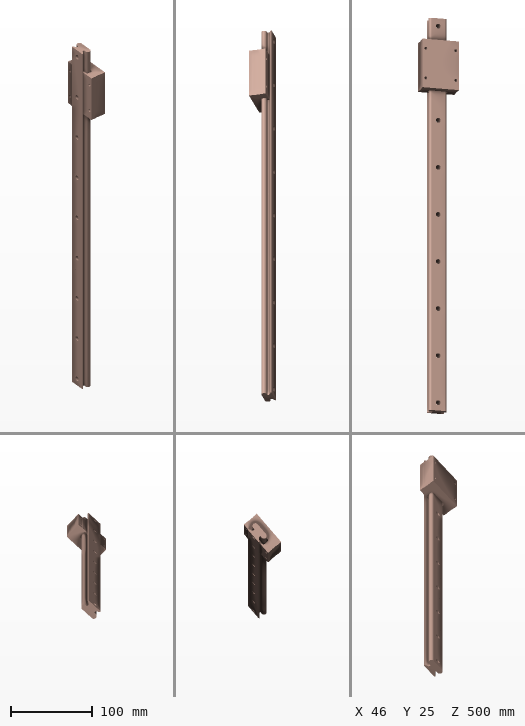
import cadquery as cq
import math

rail_length = 500.0
rail_height = 13.5
head_half_width = 11.5
head_edge_half_width = 8.5
head_thickness = 7.0
head_underside_y = rail_height - head_thickness
stem_half_width = 5.5
foot_half_width = 10.5
foot_edge_radius = 1.0
groove_y = 5.0
groove_radius = 1.75
foot_slope = 30.0

rail_hole_diameter = 6.0
rail_hole_count = 9
rail_hole_pitch = 60.0
first_rail_hole_z = (rail_length - (rail_hole_count - 1) * rail_hole_pitch) / 2

carriage_width = 46.0
carriage_length = 62.0
carriage_front_y = 4.0
carriage_back_y = 25.0
carriage_centre_z = 438.0
carriage_bottom_z = carriage_centre_z - carriage_length / 2
carriage_half_width = carriage_width / 2

head_clearance = 0.25
channel_half_width = head_half_width + head_clearance
channel_roof_y = 14.5
channel_chamfer = 1.5
lip_top_y = head_underside_y - head_clearance
lip_half_gap = 8.0

carriage_hole_spacing = 38.0
carriage_hole_diameter = 3.5

relief_depth = 0.25
side_relief_low_y = 10.5
side_relief_high_y = 19.5
front_relief_width = 7.0

rod_radius = (lip_half_gap - stem_half_width) / 2
rod_x = stem_half_width + rod_radius
rod_y = groove_y


def mirrored(point):
    """The same point on the other side of the YZ plane."""
    x, y = point
    return (-x, y)


def make_rail():
    slope = math.radians(foot_slope)
    root_x = stem_half_width + groove_radius

    def on_root(angle):
        """Point on the groove root, turned by angle from its start on the stem."""
        return (root_x - groove_radius * math.cos(angle), groove_y - groove_radius * math.sin(angle))

    head_top = (head_edge_half_width, rail_height)
    head_side = (head_half_width, (rail_height + head_underside_y) / 2)
    head_bottom = (head_edge_half_width, head_underside_y)
    stem_top = (stem_half_width, head_underside_y)
    root_start = on_root(0)
    root_end_angle = math.pi / 2 - slope
    root_middle = on_root(root_end_angle / 2)
    root_end = on_root(root_end_angle)
    foot_top = (foot_half_width, root_end[1] - (foot_half_width - root_end[0]) * math.tan(slope))
    foot_bottom = (foot_half_width, 0)

    rail = (
        cq.Workplane("XY")
        .moveTo(*mirrored(head_top))
        .lineTo(*head_top)
        .threePointArc(head_side, head_bottom)
        .lineTo(*stem_top)
        .lineTo(*root_start)
        .threePointArc(root_middle, root_end)
        .lineTo(*foot_top)
        .lineTo(*foot_bottom)
        .lineTo(*mirrored(foot_bottom))
        .lineTo(*mirrored(foot_top))
        .lineTo(*mirrored(root_end))
        .threePointArc(mirrored(root_middle), mirrored(root_start))
        .lineTo(*mirrored(stem_top))
        .lineTo(*mirrored(head_bottom))
        .threePointArc(mirrored(head_side), mirrored(head_top))
        .close()
        .extrude(rail_length)
    )
    rail = rail.edges("|Z and <Y").fillet(foot_edge_radius)

    hole_centres = [(0, first_rail_hole_z + i * rail_hole_pitch) for i in range(rail_hole_count)]
    holes = (
        cq.Workplane("XZ")
        .pushPoints(hole_centres)
        .circle(rail_hole_diameter / 2)
        .extrude(-rail_height)
    )
    return rail.cut(holes)


def carriage_box(x_min, x_max, y_min, y_max):
    """A block between the given sides, as long as the carriage."""
    return (
        cq.Workplane("XY", origin=(x_min, y_min, carriage_bottom_z))
        .rect(x_max - x_min, y_max - y_min, centered=False)
        .extrude(carriage_length)
    )


def make_rod(side):
    return (
        cq.Workplane("XY", origin=(side * rod_x, rod_y, carriage_bottom_z))
        .circle(rod_radius)
        .extrude(carriage_length)
    )


def make_carriage():
    carriage = carriage_box(-carriage_half_width, carriage_half_width, carriage_front_y, carriage_back_y)

    channel = carriage_box(-channel_half_width, channel_half_width, lip_top_y, channel_roof_y)
    channel = channel.edges("|Z and >Y").chamfer(channel_chamfer)
    lip_gap = carriage_box(-lip_half_gap, lip_half_gap, carriage_front_y, lip_top_y)
    carriage = carriage.cut(channel).cut(lip_gap)

    side_floor = carriage_half_width - relief_depth
    for x_min, x_max in ((-carriage_half_width, -side_floor), (side_floor, carriage_half_width)):
        carriage = carriage.cut(carriage_box(x_min, x_max, side_relief_low_y, side_relief_high_y))
    front_relief = carriage_box(
        -carriage_half_width,
        front_relief_width - carriage_half_width,
        carriage_front_y,
        carriage_front_y + relief_depth,
    )
    carriage = carriage.cut(front_relief)

    holes = (
        cq.Workplane("XZ", origin=(0, 0, carriage_centre_z))
        .rect(carriage_hole_spacing, carriage_hole_spacing, forConstruction=True)
        .vertices()
        .circle(carriage_hole_diameter / 2)
        .extrude(-carriage_back_y)
    )
    return carriage.cut(holes)


rail = make_rail()
carriage = make_carriage()
rods = [make_rod(side) for side in (-1, 1)]

result = cq.Compound.makeCompound([rail.val(), carriage.val(), *[rod.val() for rod in rods]])